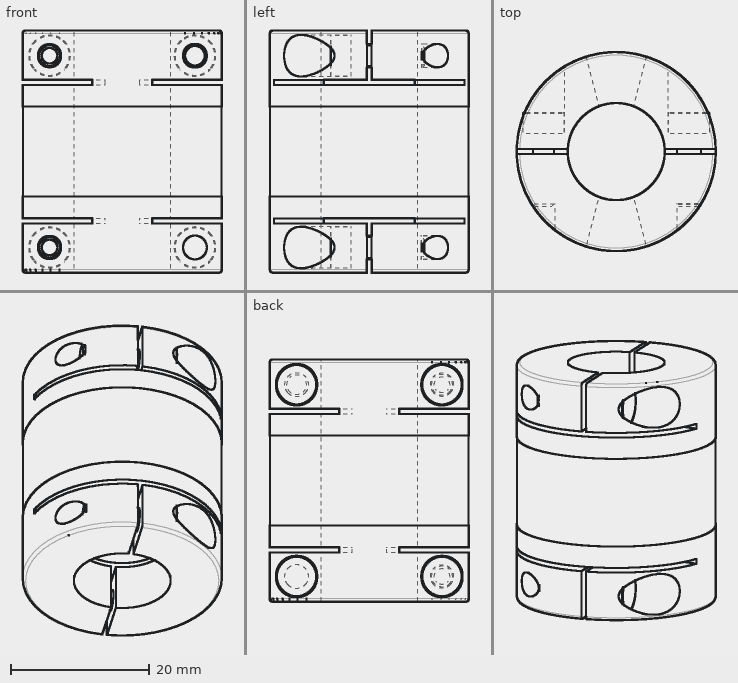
import cadquery as cq

LENGTH = 35.0
OUTER_RADIUS = 14.4
BORE_RADIUS = 7.0
RIM_FILLET = 0.45

BAND_LENGTH = 13.0
BAND_RADIUS = 14.365

SLOT_WIDTH = 0.7
HUB_LENGTH = 7.15
SLIT_WIDTH = 0.7

BRIDGE_INNER_HALF_WIDTH = 2.5
BRIDGE_INNER_Y = 6.54
BRIDGE_OUTER_HALF_WIDTH = 4.35
BRIDGE_OUTER_Y = 13.73

SCREW_X = 10.5
SCREW_END_DISTANCE = 3.65
SCREW_TIP_Y = -7.95
HEAD_RADIUS = 2.95
HEAD_HEIGHT = 3.0
HEAD_TOP_Y = 5.63
HEAD_CHAMFER = 0.1
COUNTERBORE_RADIUS = 3.0

LEFT_SCREW_RADIUS = 1.5
LEFT_TIP_CHAMFER = 0.37
LEFT_HOLE_RADIUS = 1.68
RIGHT_SCREW_RADIUS = 1.72
RIGHT_TIP_CHAMFER = 0.3
FLAT_TIP_Y = -7.5

HALF_LENGTH = LENGTH / 2
SEAT_Y = HEAD_TOP_Y - HEAD_HEIGHT
SLOT_CENTRE_Z = HALF_LENGTH - HUB_LENGTH - SLOT_WIDTH / 2
SCREW_Z = HALF_LENGTH - SCREW_END_DISTANCE


def cylinder_along_y(radius, start_y, end_y, x, z):
    """Cylinder parallel to Y from start_y up to end_y."""
    axis = cq.Vector(0, 1, 0)
    return cq.Workplane(cq.Solid.makeCylinder(radius, end_y - start_y, cq.Vector(x, start_y, z), axis))


def disc(radius, height):
    """Cylinder along Z, centred on the origin."""
    return cq.Workplane("XY").workplane(offset=-height / 2).circle(radius).extrude(height)


def make_body():
    body = disc(OUTER_RADIUS, LENGTH).edges("%CIRCLE").fillet(RIM_FILLET)
    relief = disc(OUTER_RADIUS, BAND_LENGTH).cut(disc(BAND_RADIUS, BAND_LENGTH))
    return body.cut(relief).cut(disc(BORE_RADIUS, LENGTH))


def make_bridge(side):
    """Trapezoid of material kept across a slot; side is +1 for +Y, -1 for -Y."""
    taper = (BRIDGE_OUTER_HALF_WIDTH - BRIDGE_INNER_HALF_WIDTH) / (BRIDGE_OUTER_Y - BRIDGE_INNER_Y)
    inner_half = BRIDGE_INNER_HALF_WIDTH - taper * BRIDGE_INNER_Y
    outer_half = inner_half + taper * OUTER_RADIUS
    outline = [
        (-inner_half, 0),
        (-outer_half, side * OUTER_RADIUS),
        (outer_half, side * OUTER_RADIUS),
        (inner_half, 0),
    ]
    return cq.Workplane("XY").polyline(outline).close().extrude(SLOT_WIDTH / 2, both=True)


def make_slot(end):
    """Slot between hub and body; end is +1 for the top hub, -1 for the bottom hub."""
    slot = disc(OUTER_RADIUS, SLOT_WIDTH).cut(make_bridge(1)).cut(make_bridge(-1))
    return slot.translate((0, 0, end * SLOT_CENTRE_Z))


def make_slit(end):
    """Slit through a hub along X, from the hub face down to the slot."""
    slit = cq.Workplane("XY").box(2 * OUTER_RADIUS, SLIT_WIDTH, HUB_LENGTH)
    return slit.translate((0, 0, end * (HALF_LENGTH - HUB_LENGTH / 2)))


def make_screw(radius, tip_y, tip_chamfer, x, z):
    shank = cylinder_along_y(radius, tip_y, SEAT_Y, x, z)
    if tip_chamfer > 0:
        shank = shank.faces("<Y").chamfer(tip_chamfer)
    head = cylinder_along_y(HEAD_RADIUS, SEAT_Y, HEAD_TOP_Y, x, z)
    head = head.faces(">Y").chamfer(HEAD_CHAMFER)
    return shank.union(head)


def add_screw(body, radius, hole_radius, tip_y, tip_chamfer, x, z):
    """Cut the counterbore and the tip hole, then fit the screw."""
    hole_floor_y = tip_y + tip_chamfer
    body = body.cut(cylinder_along_y(COUNTERBORE_RADIUS, SEAT_Y, OUTER_RADIUS, x, z))
    body = body.cut(cylinder_along_y(hole_radius, -OUTER_RADIUS, hole_floor_y, x, z))
    return body.union(make_screw(radius, tip_y, tip_chamfer, x, z))


def add_left_screw(body, z):
    return add_screw(body, LEFT_SCREW_RADIUS, LEFT_HOLE_RADIUS, SCREW_TIP_Y, LEFT_TIP_CHAMFER, -SCREW_X, z)


def add_right_screw(body, tip_y, tip_chamfer, z):
    return add_screw(body, RIGHT_SCREW_RADIUS, RIGHT_SCREW_RADIUS, tip_y, tip_chamfer, SCREW_X, z)


result = make_body()
for end in (1, -1):
    result = result.cut(make_slot(end)).cut(make_slit(end))
    result = add_left_screw(result, end * SCREW_Z)

result = add_right_screw(result, SCREW_TIP_Y, RIGHT_TIP_CHAMFER, SCREW_Z)
result = add_right_screw(result, FLAT_TIP_Y, 0, -SCREW_Z)